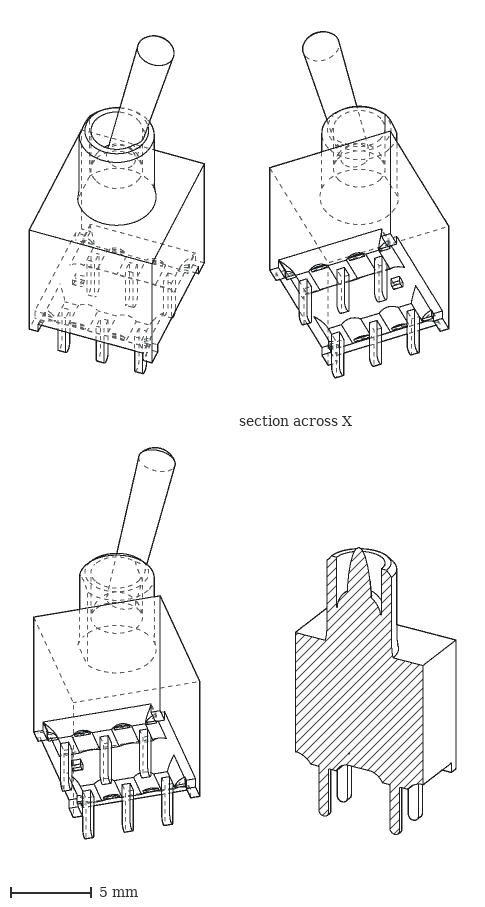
import cadquery as cq
import math

body_x = 8.14
body_y = 9.14
body_top = 8.92
foot_x = 0.6
foot_y = 1.0
foot_height = 0.65

bushing_height = 5.95
bushing_radius = 2.32
bushing_chamfer_height = 0.4
bushing_chamfer_width = 0.35
collar_radius = 2.43
collar_height = 0.8
flat_offset = 2.14
collar_flat_offset = 2.2
bore_radius = 1.6

pivot_height = 2.43
lever_tilt = 12.5
lever_length = 11.95
lever_root_radius = 0.9
lever_tip_radius = 1.15
lever_dome_height = 0.7

pin_pitch = 2.55
pin_x = 0.51
pin_y = 0.73
pin_length = 3.3
pin_columns = (-pin_pitch, 0, pin_pitch)
pin_rows = (-pin_pitch, pin_pitch)

seal_bottom = 0.05
seal_hollow = 0.38
seal_inner_top = 0.86
seal_inner_bottom = 1.65
seal_outer_top = 4.45
seal_outer_bottom = 3.45
seal_end_top = 3.43
seal_end_bottom = pin_pitch + pin_x / 2
scallop_half_width = 0.65
scallop_top = 0.25
seal_ledge_bottom = 0.14
seal_ledge_y = 0.22

stub_size = 0.57
stub_bottom = 0.14
stub_chamfer = 0.14

window_x = body_x - 2 * foot_x
window_y = body_y - 2 * foot_y
bushing_top = body_top + bushing_height
pivot_z = body_top + pivot_height


def box_between(size_x, size_y, bottom, top):
    """Box centred on the Z axis, from height bottom to height top."""
    return cq.Workplane("XY", origin=(0, 0, bottom)).rect(size_x, size_y).extrude(top - bottom)


def make_body():
    block = box_between(body_x, body_y, 0, body_top)
    block = block.cut(box_between(window_x, body_y, 0, foot_height))
    return block.cut(box_between(body_x, window_y, 0, foot_height))


def make_bushing():
    """Revolved bushing whose bore ends in the upper half of the pivot ball."""
    ball_mid = bore_radius * math.sqrt(0.5)
    turned = (
        cq.Workplane("XZ")
        .moveTo(0, body_top)
        .lineTo(collar_radius, body_top)
        .lineTo(bushing_radius, body_top + collar_height)
        .lineTo(bushing_radius, bushing_top - bushing_chamfer_height)
        .lineTo(bushing_radius - bushing_chamfer_width, bushing_top)
        .lineTo(bore_radius, bushing_top)
        .lineTo(bore_radius, pivot_z)
        .threePointArc((ball_mid, pivot_z + ball_mid), (0, pivot_z + bore_radius))
        .close()
        .revolve(360, (0, 0, 0), (0, 1, 0))
    )
    flat_limit = (
        cq.Workplane("XZ")
        .moveTo(collar_radius, body_top)
        .lineTo(-collar_flat_offset, body_top)
        .lineTo(-flat_offset, body_top + collar_height)
        .lineTo(-flat_offset, bushing_top)
        .lineTo(collar_radius, bushing_top)
        .close()
        .extrude(collar_radius, both=True)
    )
    return turned.intersect(flat_limit)


def make_lever():
    """Tapered, domed lever, leaning towards +X about the pivot."""
    dome_radius = (lever_tip_radius**2 + lever_dome_height**2) / (2 * lever_dome_height)
    dome_centre = lever_length + lever_dome_height - dome_radius
    half_angle = math.asin(lever_tip_radius / dome_radius) / 2
    dome_mid = (dome_radius * math.sin(half_angle), dome_centre + dome_radius * math.cos(half_angle))
    upright = (
        cq.Workplane("XZ")
        .lineTo(lever_root_radius, 0)
        .lineTo(lever_tip_radius, lever_length)
        .threePointArc(dome_mid, (0, lever_length + lever_dome_height))
        .close()
        .revolve(360, (0, 0, 0), (0, 1, 0))
    )
    return upright.rotate((0, 0, 0), (0, 1, 0), lever_tilt).translate((0, 0, pivot_z))


def make_pin():
    """Flat pin on the Z axis with a fully rounded lower end."""
    round_radius = pin_y / 2
    return (
        cq.Workplane("YZ")
        .moveTo(-round_radius, foot_height)
        .lineTo(-round_radius, round_radius - pin_length)
        .threePointArc((0, -pin_length), (round_radius, round_radius - pin_length))
        .lineTo(round_radius, foot_height)
        .close()
        .extrude(pin_x / 2, both=True)
    )


def concave_point(wide, narrow):
    """Middle of a hollow flank from wide at the roof to narrow at the seal bottom."""
    depth = foot_height - seal_bottom
    return narrow + seal_hollow * (wide - narrow), foot_height - seal_hollow * depth


def make_seal():
    """Ridge with hollow flanks around the +Y row of pins, with a ledge as long as the gap between feet."""
    cross_section = (
        cq.Workplane("YZ")
        .moveTo(seal_inner_top, foot_height)
        .threePointArc(concave_point(seal_inner_top, seal_inner_bottom), (seal_inner_bottom, seal_bottom))
        .lineTo(seal_outer_bottom, seal_bottom)
        .threePointArc(concave_point(seal_outer_top, seal_outer_bottom), (seal_outer_top, foot_height))
        .close()
        .extrude(seal_end_top, both=True)
    )
    side_outline = (
        cq.Workplane("XZ")
        .moveTo(-seal_end_top, foot_height)
        .threePointArc(concave_point(-seal_end_top, -seal_end_bottom), (-seal_end_bottom, seal_bottom))
    )
    for middle in (-pin_pitch / 2, pin_pitch / 2):
        scallop_end = (middle + scallop_half_width, seal_bottom)
        side_outline = (
            side_outline
            .lineTo(middle - scallop_half_width, seal_bottom)
            .threePointArc((middle, scallop_top), scallop_end)
        )
    side_limit = (
        side_outline.lineTo(seal_end_bottom, seal_bottom)
        .threePointArc(concave_point(seal_end_top, seal_end_bottom), (seal_end_top, foot_height))
        .close()
        .extrude(seal_outer_top, both=True)
    )
    ledge = box_between(window_x, seal_ledge_y, seal_ledge_bottom, foot_height)
    ledge = ledge.translate((0, seal_outer_bottom - seal_ledge_y / 2, 0))
    return cross_section.intersect(side_limit).union(ledge)


def make_stub():
    stub = box_between(stub_size, stub_size, stub_bottom, foot_height)
    return stub.faces("<Z").edges("|X").chamfer(stub_chamfer).translate((-pin_pitch, 0, 0))


result = make_body().union(make_bushing()).union(make_lever())

seal = make_seal()
result = result.union(seal).union(seal.mirror("XZ"))

for x in pin_columns:
    for y in pin_rows:
        result = result.union(make_pin().translate((x, y, 0)))

result = result.union(make_stub())